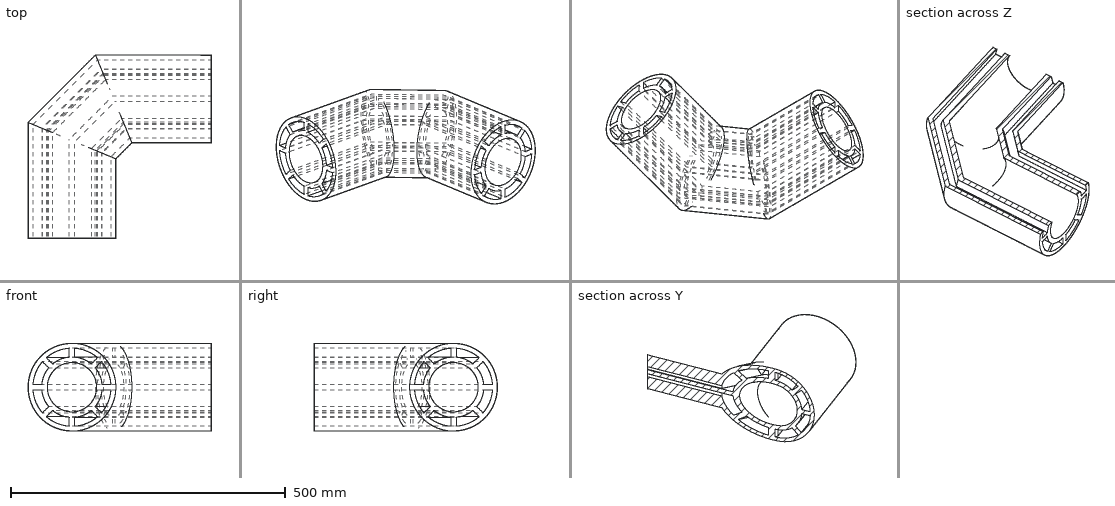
import cadquery as cq
import math

overall_size = 334.0
outer_diameter = 160.0
bore_diameter = 90.0
cell_outer_radius = 71.0
cell_inner_radius = 55.0
rib_thickness = 10.0
rib_count = 8

leg_length = 178.0
turn_angle = 45
outer_radius = outer_diameter / 2
end_x = outer_radius - overall_size / 2
end_y = overall_size / 2 - outer_radius
middle_rise = overall_size - outer_radius - leg_length
middle_length = middle_rise * math.sqrt(2)

first_start = (end_x, -overall_size / 2)
first_mitre = (end_x, first_start[1] + leg_length)
second_mitre = (end_x + middle_rise, end_y)

mitre_shift = outer_radius * math.tan(math.radians(turn_angle / 2))


def tube_section(length):
    """Ribbed double-wall tube along local +Z."""
    tube = cq.Workplane("XY").circle(outer_radius).circle(bore_diameter / 2).extrude(length)
    cells = cq.Workplane("XY").circle(cell_outer_radius).circle(cell_inner_radius).extrude(length)
    for index in range(rib_count // 2):
        angle = index * 360 / rib_count
        rib = (
            cq.Workplane("XY")
            .transformed(rotate=(0, 0, angle))
            .rect(outer_diameter, rib_thickness)
            .extrude(length)
        )
        cells = cells.cut(rib)
    return tube.cut(cells)


def tube_piece(start, heading, length, start_shift, end_shift):
    """Tube with mitred ends, lying in the XY plane and heading at an angle from +X.

    A shift lengthens the piece on the outside of the turn and shortens it on
    the inside; a zero shift leaves that end square.
    """
    longest = length + start_shift + end_shift
    tube = (
        tube_section(longest)
        .translate((0, 0, -start_shift))
        .rotate((0, 0, 0), (0, 1, 0), 90)
    )
    mitred_envelope = (
        cq.Workplane("XY")
        .polyline([
            (-start_shift, outer_radius),
            (length + end_shift, outer_radius),
            (length - end_shift, -outer_radius),
            (start_shift, -outer_radius),
        ])
        .close()
        .extrude(outer_radius, both=True)
    )
    piece = tube.intersect(mitred_envelope)
    return piece.rotate((0, 0, 0), (0, 0, 1), heading).translate((*start, 0))


first_leg = tube_piece(first_start, 90, leg_length, 0, mitre_shift)
middle_piece = tube_piece(first_mitre, turn_angle, middle_length, mitre_shift, mitre_shift)
second_leg = tube_piece(second_mitre, 0, leg_length, mitre_shift, 0)

result = first_leg.union(middle_piece).union(second_leg)